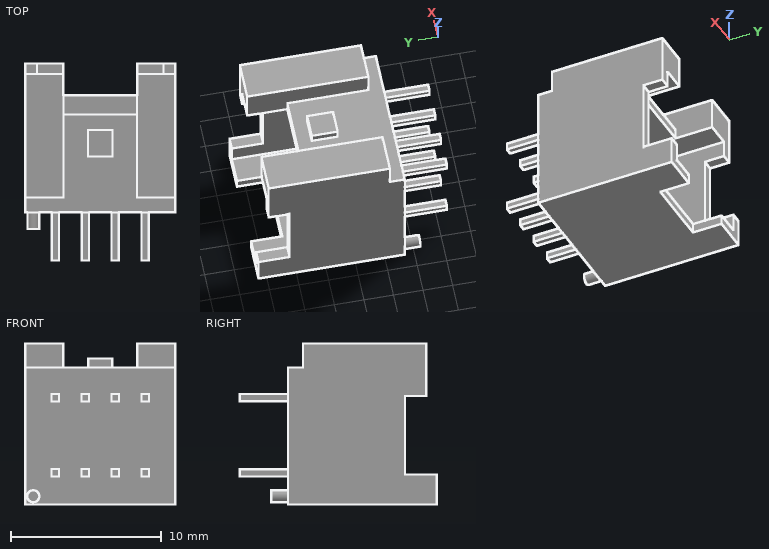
import cadquery as cq

total_length = 13.1
pin_length = 3.2
width = 10.0
shell_height = 9.1
shroud_depth = total_length - pin_length

side_wall = 0.8
roof_thickness = 0.71
floor_thickness = roof_thickness
base_thickness = 1.01

rail_width = 2.55
rail_height = 1.6
rail_setback = 1.01
rail_rear_gap = 0.7
rail_end = shroud_depth - rail_rear_gap
total_height = shell_height + rail_height
rail_spacing = width - 2 * rail_width

window_depth = 2.11
window_bottom = 2.0
window_top = 7.19
roof_recess = 3.4

latch_width = 1.6
latch_length = 1.75
latch_height = 0.6
latch_start = 3.72

pin_size = 0.5
pin_pitch = 1.99
pins_per_row = 4
row_count = 2
lower_row_height = 2.11
row_spacing = 4.99

post_diameter = 0.8
post_length = 1.1
post_inset = 0.55


def block(x_range, y_range, z_range):
    """Box spanning the given (start, end) ranges along each axis."""
    sizes = [end - start for start, end in (x_range, y_range, z_range)]
    corner = (x_range[0], y_range[0], z_range[0])
    return cq.Workplane("XY").box(*sizes, centered=False).translate(corner)


def centered_range(size, center=0.0):
    return (center - size / 2, center + size / 2)


def make_shroud():
    full_width = centered_range(width)
    shroud = block(full_width, (0, shroud_depth), (0, shell_height))

    for side in (-1, 1):
        rail_x = centered_range(rail_width, side * (width - rail_width) / 2)
        rail = block(rail_x, (rail_setback, shroud_depth), (window_top, total_height))
        shroud = shroud.union(rail)

    shroud = shroud.cut(block(full_width, (rail_end, shroud_depth), (window_top, total_height)))

    cavity = block(
        centered_range(width - 2 * side_wall),
        (base_thickness, shroud_depth),
        (floor_thickness, shell_height - roof_thickness),
    )
    shroud = shroud.cut(cavity)

    window_y = (shroud_depth - window_depth, shroud_depth)
    shroud = shroud.cut(block(full_width, window_y, (window_bottom, window_top)))

    notch_x = centered_range(rail_spacing)
    shroud = shroud.cut(block(notch_x, window_y, (0, total_height)))
    roof_notch_y = (shroud_depth - roof_recess, shroud_depth)
    return shroud.cut(block(notch_x, roof_notch_y, (shell_height - roof_thickness, total_height)))


def make_latch():
    return block(
        centered_range(latch_width),
        (latch_start, latch_start + latch_length),
        (shell_height - roof_thickness, shell_height + latch_height),
    )


def make_pin(column, row):
    x_center = (column - (pins_per_row - 1) / 2) * pin_pitch
    z_center = lower_row_height + row * row_spacing
    return block(
        centered_range(pin_size, x_center),
        (-pin_length, base_thickness),
        centered_range(pin_size, z_center),
    )


def make_post():
    return (
        cq.Workplane("XZ")
        .center(post_inset - width / 2, post_inset)
        .circle(post_diameter / 2)
        .extrude(post_length)
    )


result = make_shroud().union(make_latch()).union(make_post())
for row in range(row_count):
    for column in range(pins_per_row):
        result = result.union(make_pin(column, row))